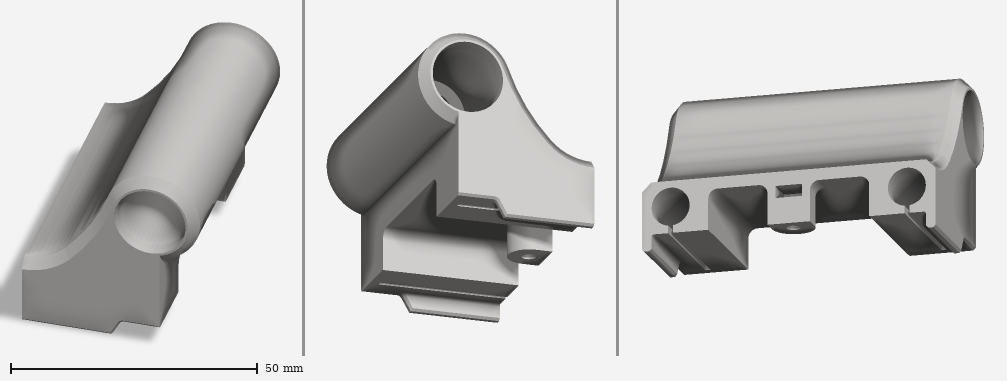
import cadquery as cq
import math

length = 62.0
block_depth = 29.0
height = 39.0

barrel_radius = 10.0
barrel_x = 37.0 - barrel_radius
barrel_z = height - barrel_radius
bore_diameter = 10.0
seat_diameter = 15.0
seat_depth = 24.0
end_chamfer = 2.0

foot_z = 14.5
foot_radius = 12.0
flank_radius = 40.0

base_z = 3.5
skirt_thickness = 2.05
skirt_depth = 18.85
skirt_slope = math.radians(60)
skirt_step_radius = 1.0
skirt_edge_chamfer = 0.5
skirt_root_radius = 0.5

recess_width = 34.0
recess_z = 12.0
recess_fillet = 2.0
leg_width = 8.9
leg_centre_x = 3.55

nut_slot_width = 5.65
nut_slot_bottom = 9.0
nut_slot_top = 11.55
screw_diameter = 3.0

socket_diameter = 8.0
socket_spacing = 49.85
socket_z = 9.05
socket_end_wall = 2.0
slit_width = 1.05

overrun = 0.6


def box(x_range, y_range, z_range):
    """Axis-aligned box between pairs of limits."""
    sizes = [high - low for low, high in (x_range, y_range, z_range)]
    corner = (x_range[0], y_range[0], z_range[0])
    return cq.Workplane("XY").box(*sizes, centered=False).translate(corner)


def y_cylinder(diameter, y_start, y_end):
    """Cylinder on the barrel axis."""
    plane = cq.Workplane("XZ", origin=(barrel_x, y_start, barrel_z))
    return plane.circle(diameter / 2).extrude(y_start - y_end)


def polar(centre, radius, angle):
    """Point at a radius and angle from a centre, as (X, Z)."""
    return (centre[0] + radius * math.cos(angle), centre[1] + radius * math.sin(angle))


def make_block():
    """Body under the barrel, with its curved top chamfered at both ends."""
    foot_centre = (0, foot_z + foot_radius)
    barrel_centre = (barrel_x, barrel_z)
    to_foot = flank_radius - foot_radius
    to_barrel = flank_radius + barrel_radius
    span = math.dist(foot_centre, barrel_centre)
    span_angle = math.atan2(barrel_z - foot_centre[1], barrel_x)
    corner_angle = math.acos((to_foot**2 + span**2 - to_barrel**2) / (2 * to_foot * span))
    flank_centre = polar(foot_centre, to_foot, span_angle + corner_angle)

    foot_end_angle = math.atan2(foot_centre[1] - flank_centre[1], foot_centre[0] - flank_centre[0])
    flank_end_angle = math.atan2(barrel_z - flank_centre[1], barrel_x - flank_centre[0])
    foot_mid = polar(foot_centre, foot_radius, (foot_end_angle - math.pi / 2) / 2)
    foot_end = polar(foot_centre, foot_radius, foot_end_angle)
    flank_mid = polar(flank_centre, flank_radius, (foot_end_angle + flank_end_angle) / 2)
    flank_end = polar(flank_centre, flank_radius, flank_end_angle)

    block = (
        cq.Workplane("XZ", origin=(0, length / 2, 0))
        .moveTo(0, 0)
        .lineTo(0, foot_z)
        .threePointArc(foot_mid, foot_end)
        .threePointArc(flank_mid, flank_end)
        .lineTo(*barrel_centre)
        .lineTo(block_depth, barrel_z)
        .lineTo(block_depth, base_z)
        .lineTo(skirt_depth + base_z / math.tan(skirt_slope), base_z)
        .lineTo(skirt_depth, 0)
        .close()
        .extrude(length)
    )
    block = block.faces("|Y").edges("%CIRCLE").chamfer(end_chamfer)
    step_box = cq.selectors.BoxSelector(
        (skirt_depth + overrun, -length, base_z - overrun),
        (block_depth - overrun, length, base_z + overrun),
    )
    return block.edges("|Y").edges(step_box).fillet(skirt_step_radius)


def lower_end_edges(half_width, top):
    """Selects edges lying at Y = +/- half_width and no higher than top, away from the X faces."""
    margin = 0.05
    zones = [
        cq.selectors.BoxSelector(
            (overrun, y - margin, -margin), (block_depth - overrun, y + margin, top + margin)
        )
        for y in (-half_width, half_width)
    ]
    return zones[0] + zones[1]


def shape_skirts(block):
    """Clear the space between the skirts and chamfer their outer and inner lower edges."""
    inner_half = length / 2 - skirt_thickness
    channel = box((-overrun, block_depth + overrun), (-inner_half, inner_half), (-overrun, base_z))
    channel = channel.edges("|X and >Z").fillet(skirt_root_radius)
    block = block.edges(lower_end_edges(length / 2, base_z)).chamfer(skirt_edge_chamfer)
    block = block.cut(channel)
    return block.edges(lower_end_edges(inner_half, base_z / 2)).chamfer(skirt_edge_chamfer)


def make_barrel():
    """Full-length barrel, chamfered at both ends."""
    return y_cylinder(2 * barrel_radius, -length / 2, length / 2).faces("|Y").edges().chamfer(end_chamfer)


def make_bore():
    """Through bore widened to a bearing seat at both ends."""
    bore = y_cylinder(bore_diameter, -length / 2, length / 2)
    for side in (-1, 1):
        bore = bore.union(y_cylinder(seat_diameter, side * length / 2, side * (length / 2 - seat_depth)))
    return bore


def make_recess():
    """Recess open below and at both X faces, less the round-ended leg."""
    recess = box(
        (-overrun, block_depth + overrun), (-recess_width / 2, recess_width / 2), (-overrun, recess_z)
    )
    leg_bar = box((-overrun, leg_centre_x), (-leg_width / 2, leg_width / 2), (-overrun, recess_z))
    leg_end = cq.Workplane("XY", origin=(leg_centre_x, 0, -overrun)).circle(leg_width / 2)
    leg = leg_bar.union(leg_end.extrude(recess_z + overrun))
    return recess.cut(leg).faces(">Z").edges("not |Y").fillet(recess_fillet)


def make_nut_slot():
    """Nut slot from the front face of the leg and the screw hole rising into it."""
    slot = box(
        (-overrun, leg_centre_x + nut_slot_width / 2),
        (-nut_slot_width / 2, nut_slot_width / 2),
        (nut_slot_bottom, nut_slot_top),
    )
    screw = cq.Workplane("XY", origin=(leg_centre_x, 0, 0)).circle(screw_diameter / 2).extrude(nut_slot_top)
    return slot.union(screw)


def make_socket(y_centre):
    """Blind rod socket with a slit down to the underside."""
    depth = block_depth - socket_end_wall
    socket = cq.Workplane("YZ", origin=(0, y_centre, socket_z)).circle(socket_diameter / 2).extrude(depth)
    slit = box((0, depth), (y_centre - slit_width / 2, y_centre + slit_width / 2), (0, socket_z))
    return socket.union(slit)


result = shape_skirts(make_block()).union(make_barrel()).cut(make_bore())
result = result.cut(make_recess()).cut(make_nut_slot())
for side in (-1, 1):
    result = result.cut(make_socket(side * socket_spacing / 2))